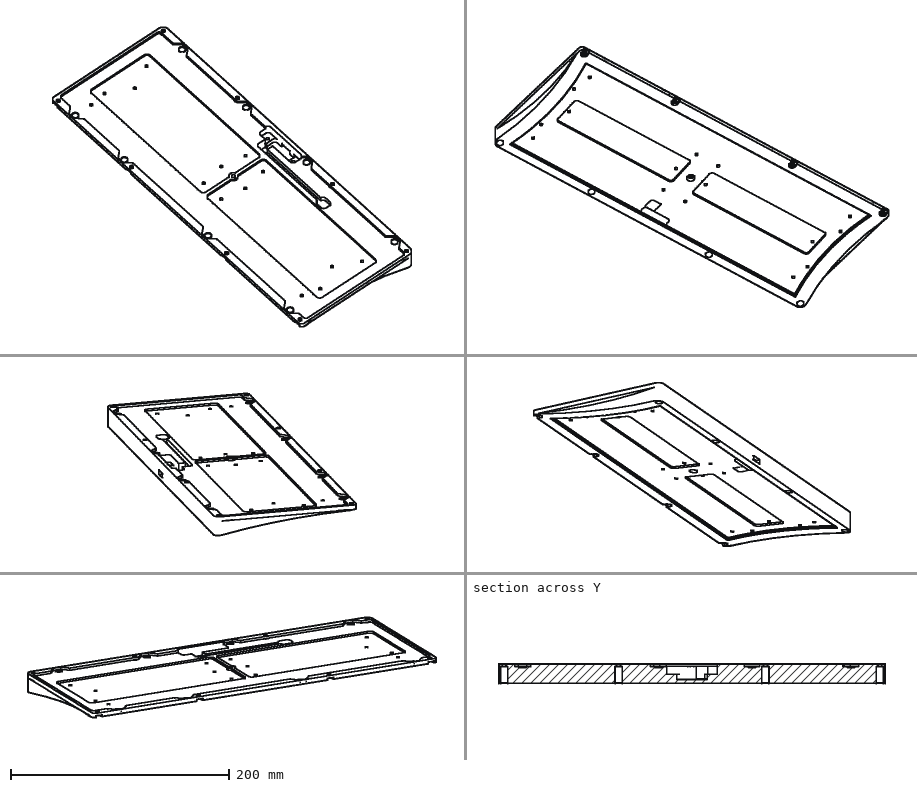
import cadquery as cq
import math

length = 354.2
depth = 135.5
height = 18.5
slope_angle = 6.0
slope = math.tan(math.radians(slope_angle))
rear_corner_radius = 5.5
front_corner_radius = 3.5
half_length = length / 2
half_depth = depth / 2
through = 4 * height

flange_underside = 14.0
flank_rear_y = 61.0
flank_front_y = -61.0
flank_bow = 7.0

panel_half_length = 162.2
panel_rear_y = 58.5
panel_front_y = -55.3
panel_depth = 2.0
panel_edge_chamfer = 1.0

groove_inner_x = 11.5
groove_outer_x = 143.8
groove_front_y = -15.2
groove_rear_y = 15.2
groove_depth = 1.8
groove_corner_radius = 3.2

floor_z = 16.3
floor_half_length = 174.3
floor_half_depth = 60.2
floor_corner_radius = 3.0

notch_base_width = 19.0
notch_tip_width = 7.8
notch_tip_y = 66.5
socket_diameter = 6.5
socket_depth = 1.0
rear_socket_y = 63.0
front_socket_y = -62.5
rear_notch_xs = (-145.5, -55.0, 30.8, 155.0)
front_notch_xs = (-149.0, -79.7, 39.0, 155.0)

tray_inner_x = 1.8
tray_outer_x = 163.0
tray_center_y = 1.0
tray_width = 70.0
tray_corner_radius = 3.5
tray_floor_z = 14.5

boss_diameter = 8.0
boss_counterbore_diameter = 7.5

screw_diameter = 3.4
counterbore_diameter = 6.5
counterbore_top_z = 16.0
boss_counterbore_top_z = 12.8
screw_inner_x = 67.3
rear_screw_x = 172.0
rear_screw_y = 63.0
front_screw_x = 171.0
front_screw_y = -64.0
small_hole_diameter = 2.5
tray_hole_row_offset = 25.0
corner_hole_xs = (12.5, 152.5)
middle_hole_xs = (17.0, 139.5)
front_hole_x = 149.0
front_hole_y = -43.2
foot_hole_top_z = 10.5

bay_half_length = 24.0
bay_rear_y = 63.8
bay_front_y = 51.7
bay_ledge_z = 9.2
bay_corner_radius = 3.0
bay_screw_x = 18.0
bay_screw_depth = 4.3
connector_half_length = 14.5
connector_floor_z = 4.3
port_half_width = 5.5
port_top_z = 8.5

cable_drop_right_x = -4.0
cable_drop_floor_z = 5.0
channel_front_y = 41.0
channel_rear_y = 45.5
channel_floor_z = 12.0
cable_end_left_x = 71.5
cable_end_right_x = 84.0
cable_end_front_y = 38.0
cable_end_rear_y = 48.5
cable_end_corner_radius = 3.5


def slope_z(y):
    """Height of the sloping underside at a given y."""
    return (half_depth - y) * slope


def block(x0, x1, y0, y1, z0, z1):
    return cq.Workplane("XY").box(x1 - x0, y1 - y0, z1 - z0, centered=False).translate((x0, y0, z0))


def rounded_block(x0, x1, y0, y1, z0, z1, radius):
    return block(x0, x1, y0, y1, z0, z1).edges("|Z").fillet(radius)


def pins(points, diameter, z0, z1):
    """Upright cylinders at the given points."""
    return cq.Workplane("XY").workplane(offset=z0).pushPoints(points).circle(diameter / 2).extrude(z1 - z0)


def mirrored(x_values, y):
    """The given x values on both sides of the center, all at one y."""
    return [(side * x, y) for side in (-1, 1) for x in x_values]


def underside_cut(outline, cut_depth):
    """Solid below an XY outline whose top follows the underside, raised by cut_depth."""
    prism = outline.extrude(height)
    limit = (
        cq.Workplane("YZ")
        .moveTo(half_depth, cut_depth)
        .lineTo(-half_depth, slope_z(-half_depth) + cut_depth)
        .lineTo(-half_depth, -height)
        .lineTo(half_depth, -height)
        .close()
        .extrude(half_length, both=True)
    )
    return prism.intersect(limit)


def make_wedge():
    profile = [
        (half_depth, 0),
        (half_depth, height),
        (-half_depth, height),
        (-half_depth, slope_z(-half_depth)),
    ]
    wedge = cq.Workplane("YZ").polyline(profile).close().extrude(half_length, both=True)
    wedge = wedge.edges("|Z and >Y").fillet(rear_corner_radius)
    return wedge.edges("|Z and <Y").fillet(front_corner_radius)


def flank_cut(side):
    middle_y = (flank_rear_y + flank_front_y) / 2
    return (
        cq.Workplane("XY")
        .moveTo(side * half_length, flank_rear_y)
        .threePointArc((side * (half_length - flank_bow), middle_y), (side * half_length, flank_front_y))
        .lineTo(side * (half_length + flank_bow), flank_front_y)
        .lineTo(side * (half_length + flank_bow), flank_rear_y)
        .close()
        .extrude(flange_underside)
    )


def make_panel():
    middle_y = (panel_rear_y + panel_front_y) / 2
    waist = panel_half_length - flank_bow
    outline = (
        cq.Workplane("XY")
        .moveTo(-panel_half_length, panel_front_y)
        .lineTo(panel_half_length, panel_front_y)
        .threePointArc((waist, middle_y), (panel_half_length, panel_rear_y))
        .lineTo(-panel_half_length, panel_rear_y)
        .threePointArc((-waist, middle_y), (-panel_half_length, panel_front_y))
        .close()
    )
    return underside_cut(outline, panel_depth)


def bevel_panel_mouth(body):
    """Chamfer the edge of the panel opening, the only inner loop on the underside."""
    underside = next(face for face in body.faces().vals() if face.innerWires())
    mouth = underside.innerWires()[0].Edges()
    return body.newObject(mouth).chamfer(panel_edge_chamfer)


def make_groove(side):
    outline = (
        cq.Workplane("XY")
        .center(side * (groove_inner_x + groove_outer_x) / 2, (groove_front_y + groove_rear_y) / 2)
        .rect(groove_outer_x - groove_inner_x, groove_rear_y - groove_front_y)
    )
    return underside_cut(outline, panel_depth + groove_depth).edges("|Z").fillet(groove_corner_radius)


def make_notch(x, side):
    """Tapered opening in the rim; side is 1 for the rear rim and -1 for the front rim."""
    base_y = side * floor_half_depth
    tip_y = side * notch_tip_y
    return (
        cq.Workplane("XY", origin=(x, 0, floor_z))
        .moveTo(-notch_base_width / 2, base_y)
        .lineTo(-notch_tip_width / 2, tip_y)
        .lineTo(notch_tip_width / 2, tip_y)
        .lineTo(notch_base_width / 2, base_y)
        .close()
        .extrude(height)
    )


result = make_wedge()
for side in (-1, 1):
    result = result.cut(flank_cut(side))
result = bevel_panel_mouth(result.cut(make_panel()))
for side in (-1, 1):
    result = result.cut(make_groove(side))

result = result.cut(
    rounded_block(
        -floor_half_length, floor_half_length, -floor_half_depth, floor_half_depth,
        floor_z, through, floor_corner_radius,
    )
)
for notch_xs, side, socket_y in ((rear_notch_xs, 1, rear_socket_y), (front_notch_xs, -1, front_socket_y)):
    for x in notch_xs:
        result = result.cut(make_notch(x, side))
    sockets = [(x, socket_y) for x in notch_xs]
    result = result.cut(pins(sockets, socket_diameter, floor_z - socket_depth, through))

tray_y0 = tray_center_y - tray_width / 2
tray_y1 = tray_center_y + tray_width / 2
boss = pins([(0, tray_center_y)], boss_diameter, 0, through)
for x0, x1 in ((-tray_outer_x, -tray_inner_x), (tray_inner_x, tray_outer_x)):
    tray = rounded_block(x0, x1, tray_y0, tray_y1, tray_floor_z, through, tray_corner_radius)
    result = result.cut(tray.cut(boss))

bay = rounded_block(-bay_half_length, bay_half_length, bay_front_y, bay_rear_y,
                    bay_ledge_z, through, bay_corner_radius)
connector = rounded_block(-connector_half_length, connector_half_length, bay_front_y, bay_rear_y,
                          connector_floor_z, through, bay_corner_radius)
cable_drop = block(-connector_half_length, cable_drop_right_x, channel_front_y, bay_front_y,
                   cable_drop_floor_z, through)
cable_drop = cable_drop.edges("|Z and <X and <Y").fillet(bay_corner_radius)
channel = block(cable_drop_right_x, cable_end_left_x + cable_end_corner_radius,
                channel_front_y, channel_rear_y, channel_floor_z, through)
cable_end = rounded_block(cable_end_left_x, cable_end_right_x, cable_end_front_y, cable_end_rear_y,
                          channel_floor_z, through, cable_end_corner_radius)
port = block(-port_half_width, port_half_width, bay_front_y, depth, connector_floor_z, port_top_z)
for cutter in (bay, connector, cable_drop, channel, cable_end, port):
    result = result.cut(cutter)
bay_screws = mirrored([bay_screw_x], (bay_front_y + bay_rear_y) / 2)
result = result.cut(pins(bay_screws, small_hole_diameter, bay_ledge_z - bay_screw_depth, through))

rear_screws = mirrored([screw_inner_x, rear_screw_x], rear_screw_y)
front_screws = mirrored([screw_inner_x, front_screw_x], front_screw_y)
center_screw = [(0, tray_center_y)]
case_screws = rear_screws + front_screws
result = result.cut(pins(case_screws + center_screw, screw_diameter, -height, through))
result = result.cut(pins(case_screws, counterbore_diameter, -height, counterbore_top_z))
result = result.cut(pins(center_screw, boss_counterbore_diameter, -height, boss_counterbore_top_z))

counterbore_radius = counterbore_diameter / 2
for x, y in front_screws:
    result = result.cut(
        block(x - counterbore_radius, x + counterbore_radius, -depth, y, -height, counterbore_top_z)
    )

foot_screws = mirrored([front_hole_x], -front_hole_y)
result = result.cut(pins(foot_screws, small_hole_diameter, -height, foot_hole_top_z))

small_holes = mirrored([front_hole_x], front_hole_y)
small_holes += mirrored(middle_hole_xs, tray_center_y)
for row in (-1, 1):
    small_holes += mirrored(corner_hole_xs, tray_center_y + row * tray_hole_row_offset)
result = result.cut(pins(small_holes, small_hole_diameter, -height, through))